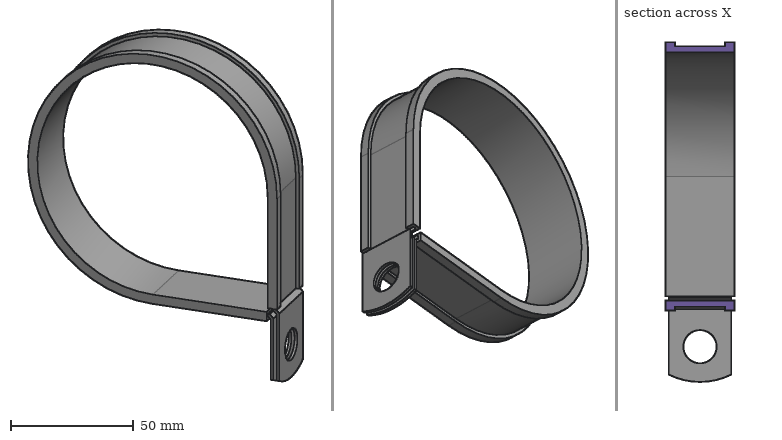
import cadquery as cq
import math

loop_radius = 55.0
loop_width = 28.4
cushion_thickness = 4.2
groove_width = 20.3
groove_depth = 1.5
flat_end_x = 50.4
upright_end_z = -49.1

band_thickness = 1.3
tab_width = 25.8
tab_bottom_z = loop_radius - 139.2
tab_end_sag = 3.0
inner_tab_face_x = 51.6
outer_tab_face_x = 55.5
inner_bend_start_x = 51.0
outer_bend_start_z = -49.4
tab_overlap = 1.4
hole_diameter = 13.5
hole_height = 14.5

inner_tab_x = inner_tab_face_x + band_thickness / 2
outer_tab_x = outer_tab_face_x - band_thickness / 2
band_radius = loop_radius - groove_depth - band_thickness / 2


def d_outline(radius):
    """Three-quarter circle closed by tangent legs that meet at a square corner."""
    return (
        cq.Workplane("XZ")
        .moveTo(radius, 0)
        .threePointArc((-radius * math.sqrt(0.5), radius * math.sqrt(0.5)), (0, -radius))
        .lineTo(radius, -radius)
        .close()
    )


def d_ring(outer_radius, inner_radius, width):
    outer = d_outline(outer_radius).extrude(width / 2, both=True)
    inner = d_outline(inner_radius).extrude(width / 2, both=True)
    return outer.cut(inner)


def make_loop():
    """Grooved D-shaped strap, open at its corner."""
    loop = d_ring(loop_radius, loop_radius - cushion_thickness, loop_width)
    groove = d_ring(loop_radius, loop_radius - groove_depth, groove_width)
    corner_gap = (
        cq.Workplane("XY")
        .box(loop_radius, loop_width, loop_radius, centered=(False, True, False))
        .translate((flat_end_x, 0, upright_end_z - loop_radius))
    )
    return loop.cut(groove).cut(corner_gap)


def make_tab(center_line):
    """Sheet of band thickness following a bent centre line."""
    half = band_thickness / 2
    directions = []
    for (x0, z0), (x1, z1) in zip(center_line, center_line[1:]):
        length = math.hypot(x1 - x0, z1 - z0)
        directions.append(((x1 - x0) / length, (z1 - z0) / length))
    left_side = []
    right_side = []
    before_each = directions[:1] + directions
    after_each = directions + directions[-1:]
    for (x, z), before, after in zip(center_line, before_each, after_each):
        scale = half / (1 + before[0] * after[0] + before[1] * after[1])
        shift_x = -(before[1] + after[1]) * scale
        shift_z = (before[0] + after[0]) * scale
        left_side.append((x + shift_x, z + shift_z))
        right_side.append((x - shift_x, z - shift_z))
    outline = left_side + right_side[::-1]
    return cq.Workplane("XZ").polyline(outline).close().extrude(tab_width / 2, both=True)


def make_tabs():
    inner_shift = inner_tab_x - inner_bend_start_x
    inner_tab = make_tab([
        (flat_end_x - tab_overlap, -band_radius),
        (inner_bend_start_x, -band_radius),
        (inner_tab_x, -band_radius - inner_shift),
        (inner_tab_x, tab_bottom_z),
    ])
    outer_shift = outer_tab_x - band_radius
    outer_tab = make_tab([
        (band_radius, upright_end_z + tab_overlap),
        (band_radius, outer_bend_start_z),
        (outer_tab_x, outer_bend_start_z - outer_shift),
        (outer_tab_x, tab_bottom_z),
    ])
    half_width = tab_width / 2
    corner_z = tab_bottom_z + tab_end_sag
    tip_profile = (
        cq.Workplane("YZ")
        .moveTo(-half_width, 0)
        .lineTo(-half_width, corner_z)
        .threePointArc((0, tab_bottom_z), (half_width, corner_z))
        .lineTo(half_width, 0)
        .close()
        .extrude(2 * loop_radius)
    )
    bolt_hole = (
        cq.Workplane("YZ")
        .center(0, tab_bottom_z + hole_height)
        .circle(hole_diameter / 2)
        .extrude(2 * loop_radius)
    )
    return inner_tab.union(outer_tab).intersect(tip_profile).cut(bolt_hole)


result = make_loop().union(make_tabs())